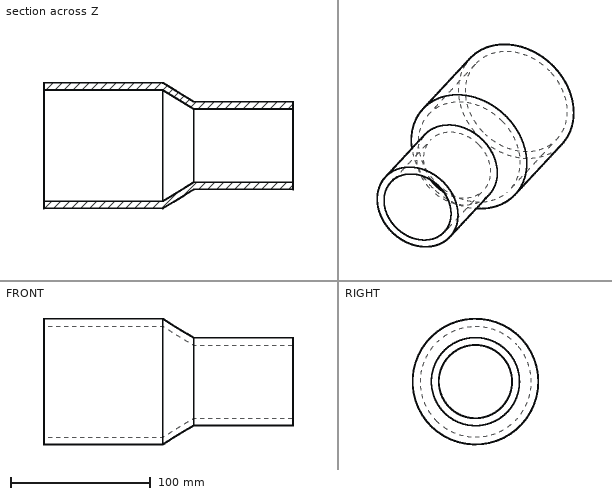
import cadquery as cq

total_length = 178.0
large_length = 85.0
small_length = 71.0

large_outer_diameter = 90.0
large_bore_diameter = 79.2
small_outer_diameter = 63.0
small_bore_diameter = 52.2

taper_start = large_length
taper_end = total_length - small_length


def stepped_cone(large_diameter, small_diameter):
    """Solid of revolution about X: large cylinder, taper, small cylinder."""
    large_radius = large_diameter / 2
    small_radius = small_diameter / 2
    half_profile = (
        cq.Workplane("XY")
        .moveTo(0, 0)
        .lineTo(0, large_radius)
        .lineTo(taper_start, large_radius)
        .lineTo(taper_end, small_radius)
        .lineTo(total_length, small_radius)
        .lineTo(total_length, 0)
        .close()
    )
    return half_profile.revolve(360, (0, 0, 0), (1, 0, 0))


body = stepped_cone(large_outer_diameter, small_outer_diameter)
bore = stepped_cone(large_bore_diameter, small_bore_diameter)

result = body.cut(bore)